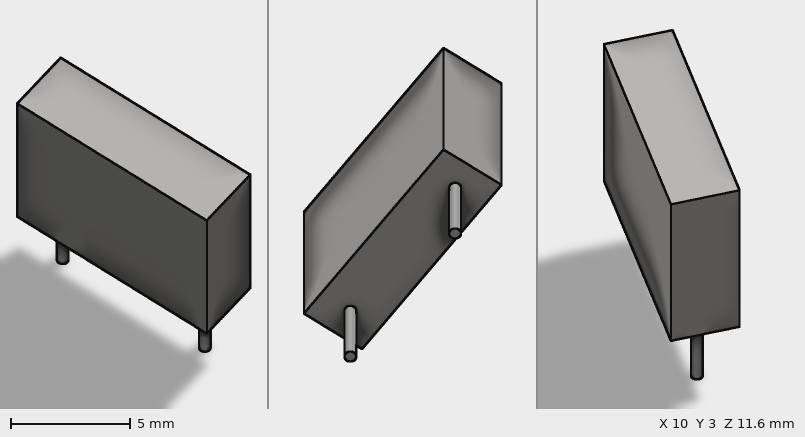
import cadquery as cq

body_length = 10.0
body_depth = 3.0
body_height = 8.0

lead_diameter = 0.5
lead_pitch = 7.5
lead_length = 3.6


def make_body():
    return cq.Workplane("XY").box(body_length, body_depth, body_height, centered=(True, True, False))


def make_leads():
    return (
        cq.Workplane("XY")
        .pushPoints([(-lead_pitch / 2, 0), (lead_pitch / 2, 0)])
        .circle(lead_diameter / 2)
        .extrude(-lead_length)
    )


result = make_body().union(make_leads())